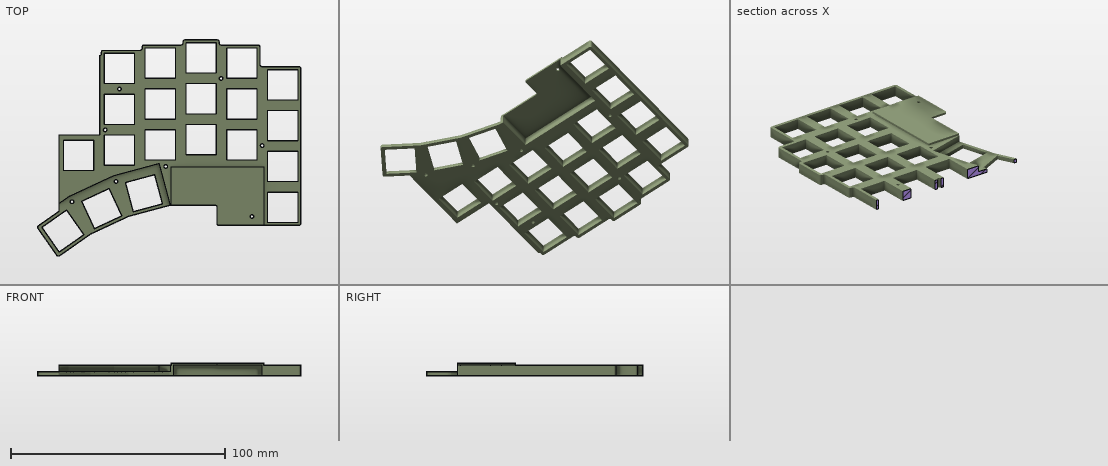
import cadquery as cq
import math

low_height = 2.0
plate_height = 5.0
total_height = 6.0
cover_thickness = total_height - plate_height

key_size = 14.0
key_pitch = 19.1
half_key = key_size / 2
rim = 1.5
edge_offset = half_key + rim
stagger = 2.5
corner_radius = 1.0
shoulder_radius = 0.6

first_column_x = 19.2
middle_row_y = 52.0
outer_column_y = 22.9
column_x = [first_column_x + key_pitch * i for i in range(6)]
column_y = [
    middle_row_y - 2 * stagger,
    middle_row_y - stagger,
    middle_row_y,
    middle_row_y + stagger,
    middle_row_y,
    outer_column_y,
]
column_keys = [1, 3, 3, 3, 3, 4]

thumb_radius = 120.3
thumb_step = 10
middle_thumb_angle = 25
middle_thumb_x = 30.0
middle_thumb_y = 22.3
inner_thumb_angle = middle_thumb_angle - thumb_step
outer_thumb_angle = middle_thumb_angle + thumb_step
thumb_back_offset = 11.6
thumb_side_offset = 10.5
thumb_rim = 1.6
thumb_end_rim = 1.8
thumb_edge_offset = half_key + thumb_rim
thumb_end_offset = half_key + thumb_end_rim
inner_flat_end = 11.3
middle_flat_end = 9.7
fan_x = middle_thumb_x + thumb_radius * math.sin(math.radians(middle_thumb_angle))
fan_y = middle_thumb_y - thumb_radius * math.cos(math.radians(middle_thumb_angle))

left_offset = 9.2
left_x = column_x[0] - left_offset
shoulder_x = column_x[1] - left_offset
shoulder_y = column_y[0] + key_pitch / 2
shoulder_top_y = 93.7
right_x = 123.0
bottom_y = outer_column_y - edge_offset
front_y = 23.7

cover_left_x = 62.4
cover_right_x = 105.7
cover_step_x = 83.8
cover_back_y = 41.6
cover_step_radius = 0.6
bay_left_x = 63.5
bay_right_x = 104.9
bay_back_y = 40.6

hole_diameter = 1.6
hole_points = [
    (38.3, 78.1), (85.7, 83.0), (31.6, 59.0), (104.9, 51.7),
    (59.9, 42.0), (36.7, 34.9), (16.1, 25.5), (100.1, 18.6),
]


def fan_point(angle, forward, sideways=0.0):
    """Point at an offset from the centre of the thumb key that stands at this angle."""
    a = math.radians(angle)
    reach = thumb_radius + forward
    x = fan_x - reach * math.sin(a) + sideways * math.cos(a)
    y = fan_y + reach * math.cos(a) + sideways * math.sin(a)
    return x, y


def meeting_point(start, angle, other_start, other_angle):
    """Corner where two lines meet, each given by a point and a direction angle."""
    dx = math.cos(math.radians(angle))
    dy = math.sin(math.radians(angle))
    other_dx = math.cos(math.radians(other_angle))
    other_dy = math.sin(math.radians(other_angle))
    gap_x = other_start[0] - start[0]
    gap_y = other_start[1] - start[1]
    travel = (gap_x * other_dy - gap_y * other_dx) / (dx * other_dy - dy * other_dx)
    return start[0] + travel * dx, start[1] + travel * dy


def column_top(index):
    return column_y[index] + (column_keys[index] - 1) * key_pitch + edge_offset


def prism(points, bottom, height):
    return cq.Workplane("XY").workplane(offset=bottom).polyline(points).close().extrude(height)


def round_corners(body, points, radius):
    """Round the vertical edges that stand at the given points."""
    reach = 0.1
    for x, y in points:
        low_corner = (x - reach, y - reach, 0)
        high_corner = (x + reach, y + reach, total_height)
        selector = cq.selectors.BoxSelector(low_corner, high_corner)
        body = body.edges("|Z").edges(selector).fillet(radius)
    return body


def make_plate():
    inner_front = fan_point(inner_thumb_angle, -thumb_edge_offset)
    middle_front = fan_point(middle_thumb_angle, -thumb_edge_offset)
    outer_back = fan_point(outer_thumb_angle, thumb_edge_offset, -thumb_end_offset)
    outer_front = fan_point(outer_thumb_angle, -thumb_edge_offset, -thumb_end_offset)
    steps = [
        (column_x[1] - edge_offset, shoulder_top_y),
        (column_x[1] - edge_offset, column_top(1)),
        (column_x[2] - edge_offset, column_top(1)),
        (column_x[2] - edge_offset, column_top(2)),
        (column_x[3] - edge_offset, column_top(2)),
        (column_x[3] - edge_offset, column_top(3)),
        (column_x[3] + edge_offset, column_top(3)),
        (column_x[3] + edge_offset, column_top(4)),
        (column_x[4] + edge_offset, column_top(4)),
        (column_x[4] + edge_offset, column_top(5)),
        (right_x, column_top(5)),
        (right_x, bottom_y),
    ]
    outline = [
        outer_front,
        outer_back,
        meeting_point(outer_back, outer_thumb_angle, (left_x, shoulder_y), 90),
        (left_x, shoulder_y),
        (shoulder_x, shoulder_y),
        (shoulder_x, shoulder_top_y),
        *steps,
        (bay_right_x, bottom_y),
        (bay_right_x, bay_back_y),
        (bay_left_x, bay_back_y),
        (bay_left_x, front_y),
        meeting_point(inner_front, inner_thumb_angle, (bay_left_x, front_y), 0),
        meeting_point(inner_front, inner_thumb_angle, middle_front, middle_thumb_angle),
        meeting_point(middle_front, middle_thumb_angle, outer_front, outer_thumb_angle),
    ]
    plate = prism(outline, 0, plate_height)
    plate = round_corners(plate, steps[:1], shoulder_radius)
    return round_corners(plate, steps[1:] + [outer_back, outer_front], corner_radius)


def make_thumb_recess():
    """Space above the thumb keys, where the plate drops to its low level."""
    clearance = 12.3
    beyond = thumb_end_offset + clearance
    middle_back = fan_point(middle_thumb_angle, thumb_back_offset, middle_flat_end)
    outer_back = fan_point(outer_thumb_angle, thumb_back_offset, -beyond)
    outline = [
        fan_point(inner_thumb_angle, thumb_back_offset, thumb_side_offset),
        fan_point(inner_thumb_angle, thumb_back_offset, -inner_flat_end),
        middle_back,
        meeting_point(middle_back, middle_thumb_angle, outer_back, outer_thumb_angle),
        outer_back,
        fan_point(outer_thumb_angle, -beyond, -beyond),
        fan_point(inner_thumb_angle, -beyond, thumb_side_offset),
    ]
    return prism(outline, low_height, total_height)


def make_cover():
    outline = [
        (cover_left_x, front_y),
        (cover_left_x, cover_back_y),
        (cover_right_x, cover_back_y),
        (cover_right_x, bottom_y),
        (cover_step_x, bottom_y),
        (cover_step_x, front_y),
    ]
    cover = prism(outline, plate_height, cover_thickness)
    cover = round_corners(cover, [(cover_step_x, front_y)], cover_step_radius)
    return round_corners(cover, [(cover_step_x, bottom_y)], corner_radius)


def key_cutter(x, y, angle=0.0):
    cutter = cq.Workplane("XY").rect(key_size, key_size).extrude(total_height)
    return cutter.rotate((0, 0, 0), (0, 0, 1), angle).translate((x, y, 0))


def make_key_cutters():
    cutters = cq.Workplane("XY")
    for x, lowest_y, count in zip(column_x, column_y, column_keys):
        for row in range(count):
            cutters = cutters.add(key_cutter(x, lowest_y + row * key_pitch))
    for angle in (inner_thumb_angle, middle_thumb_angle, outer_thumb_angle):
        x, y = fan_point(angle, 0)
        cutters = cutters.add(key_cutter(x, y, angle))
    return cutters.combine(glue=True)


def make_screw_holes():
    return cq.Workplane("XY").pushPoints(hole_points).circle(hole_diameter / 2).extrude(total_height)


plate = make_plate().cut(make_thumb_recess())
result = plate.union(make_cover()).cut(make_key_cutters()).cut(make_screw_holes())